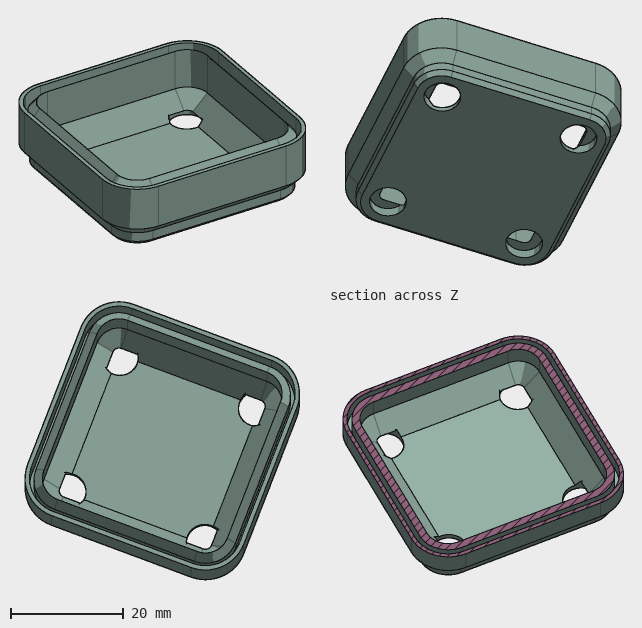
import cadquery as cq
import math

outer_size = 41.0
total_height = 12.75
corner_radius = 7.25
foot_chamfer = 0.8
foot_top = 2.6
flare_run = 1.9
flare_top = foot_top + flare_run

floor_thickness = 1.0
wall_thickness = 3.1
floor_slope = 4.0

rim_thickness = 0.8
ridge_run = 1.5
ridge_angle = 50.0
groove_depth = 7.0

magnet_diameter = 6.5
magnet_depth = 2.0
magnet_spacing = 26.0


def section(inset):
    """Outside square moved in by inset, with concentric rounded corners."""
    size = outer_size - 2 * inset
    return cq.Sketch().rect(size, size).vertices().fillet(corner_radius - inset)


def prism(inset, z_bottom, z_top):
    """Straight-sided rounded block between two heights."""
    plane = cq.Workplane("XY", origin=(0, 0, z_bottom))
    return plane.placeSketch(section(inset)).extrude(z_top - z_bottom)


def frustum(bottom_inset, z_bottom, top_inset, z_top):
    """Rounded block with sloping sides and conical corners."""
    top = section(top_inset).moved(cq.Location(cq.Vector(0, 0, z_top - z_bottom)))
    plane = cq.Workplane("XY", origin=(0, 0, z_bottom))
    return plane.placeSketch(section(bottom_inset), top).loft()


def make_body():
    foot_tip = frustum(flare_run + foot_chamfer, 0, flare_run, foot_chamfer)
    foot = prism(flare_run, foot_chamfer, foot_top)
    flare = frustum(flare_run, foot_top, 0, flare_top)
    walls = prism(0, flare_top, total_height)
    return foot_tip.union(foot).union(flare).union(walls)


def make_pocket():
    slope_top = floor_thickness + floor_slope
    funnel = frustum(wall_thickness + floor_slope, floor_thickness, wall_thickness, slope_top)
    return funnel.union(prism(wall_thickness, slope_top, total_height))


def make_groove():
    """Groove with upright sides, widened at the top by a slope that rises to the pocket edge."""
    groove_floor = total_height - groove_depth
    slope_bottom = total_height - ridge_run * math.tan(math.radians(ridge_angle))
    ridge_inset = wall_thickness - ridge_run
    ridge_base = prism(ridge_inset, groove_floor, slope_bottom)
    ridge_tip = frustum(ridge_inset, slope_bottom, wall_thickness, total_height)
    return prism(rim_thickness, groove_floor, total_height).cut(ridge_base).cut(ridge_tip)


def make_magnet_holes():
    return (
        cq.Workplane("XY")
        .rect(magnet_spacing, magnet_spacing, forConstruction=True)
        .vertices()
        .circle(magnet_diameter / 2)
        .extrude(magnet_depth)
    )


result = make_body().cut(make_groove()).cut(make_pocket()).cut(make_magnet_holes())